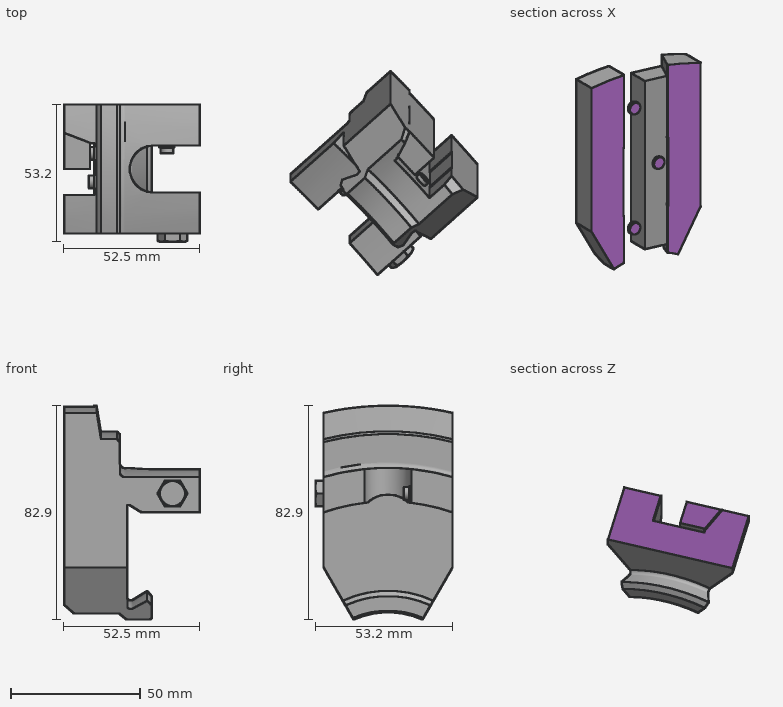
import cadquery as cq
import math

half_width = 25.0
corner_half_width = 13.3
taper_angle = 60
shoulder_z = (half_width - corner_half_width) * math.tan(math.radians(taper_angle))
top_z = 82.9

axis_z = -30.3
top_radius = top_z - axis_z

length = 52.5
rim_length = 12.6
shelf_start = 14.25
shelf_end = 21.55
back_wall = 24.5
hook_end = 34.0

shelf_radius = 103.25
arm_top_radius = 89.1
arm_bottom_radius = 76.1
arm_root_radius = 78.7
hook_tip_radius = 41.5
hook_end_radius = 39.4
groove_radius = 37.9
hook_bottom_radius = math.hypot(corner_half_width, axis_z)
body_bottom_radius = 35.8
front_bottom_radius = 39.7

shelf_chamfer = 1.1
arm_fillet = 2.0
arm_slope_start = 25.35
arm_slope_end = 29.8
groove_width = 2.2
groove_blend = 0.7
hook_tip_x = 32.15
hook_end_chamfer = 0.7
hook_step_start = 21.3
hook_step_end = 24.1
front_chamfer = 3.8

fork_radius = 9.0
fork_start = 25.4
fork_floor_z = 20.7

channel_depth = 11.6
channel_side_y = -10.0
slant_front_y = 14.0
slant_back_y = 9.95
slant_depth = 10.5
relief = 0.25
relief_bottom_z = 23.7
relief_top_z = 51.9
block_depth = 10.1
block_bottom_z = 7.3
block_top_z = 77.4

pin_diameter = 5.0
pin_chamfer = 0.25
channel_pin_y = -5.0
channel_pin_front = 9.45
channel_pin_heights = (17.2, 67.3)
block_pin_y = 6.05
block_pin_z = 42.3
bolt_x = 41.9
bolt_z = 48.8
bolt_across_flats = 10.0
bolt_head_height = 3.15
bolt_chamfer_diameter = 9.8
bolt_chamfer_height = 0.4
arm_pin_x = 39.8
arm_pin_length = 3.1
collar_diameter = 6.0
collar_thickness = 0.9
collar_chamfer = 0.4
embed = 0.8


def revolved_profile():
    """Clamp profile in the XZ plane, turned about the common axis."""

    def at(x, radius):
        return (x, axis_z + radius)

    fillet_mid = arm_fillet * (1 - math.sqrt(0.5))
    groove_end = back_wall + groove_width
    profile = (
        cq.Workplane("XZ")
        .moveTo(*at(0, front_bottom_radius))
        .lineTo(*at(0, top_radius))
        .lineTo(*at(rim_length, top_radius))
        .lineTo(*at(shelf_start, shelf_radius))
        .lineTo(*at(shelf_end - shelf_chamfer, shelf_radius))
        .lineTo(*at(shelf_end, shelf_radius - shelf_chamfer))
        .lineTo(*at(shelf_end, arm_top_radius + arm_fillet))
        .threePointArc(
            at(shelf_end + fillet_mid, arm_top_radius + fillet_mid),
            at(shelf_end + arm_fillet, arm_top_radius),
        )
        .lineTo(*at(length, arm_top_radius))
        .lineTo(*at(length, arm_bottom_radius))
        .lineTo(*at(arm_slope_end, arm_bottom_radius))
        .lineTo(*at(arm_slope_start, arm_root_radius))
        .lineTo(*at(back_wall, arm_root_radius))
        .lineTo(*at(back_wall, groove_radius + groove_blend))
        .threePointArc(
            at(back_wall + groove_width / 2, groove_radius),
            at(groove_end, groove_radius + groove_blend / 2),
        )
        .lineTo(*at(hook_tip_x, hook_tip_radius))
        .lineTo(*at(hook_end, hook_end_radius))
        .lineTo(*at(hook_end, hook_bottom_radius + hook_end_chamfer))
        .lineTo(*at(hook_end - hook_end_chamfer, hook_bottom_radius))
        .lineTo(*at(hook_step_end, hook_bottom_radius))
        .lineTo(*at(hook_step_start, body_bottom_radius))
        .lineTo(*at(front_chamfer, body_bottom_radius))
        .close()
    )
    return profile.revolve(360, (0, axis_z), (1, axis_z))


def side_outline():
    """Straight flanks and tapered lower corners, along the full length."""
    points = [
        (-corner_half_width, 0),
        (corner_half_width, 0),
        (half_width, shoulder_z),
        (half_width, top_z),
        (-half_width, top_z),
        (-half_width, shoulder_z),
    ]
    return cq.Workplane("YZ").polyline(points).close().extrude(length)


def fork_opening():
    """Round-ended opening that splits the arm in two."""
    center_x = fork_start + fork_radius
    height = top_z - fork_floor_z
    opening = cq.Workplane("XY", origin=(center_x, 0, fork_floor_z))
    straight = opening.rect(length - center_x, 2 * fork_radius, centered=(False, True)).extrude(height)
    return opening.circle(fork_radius).extrude(height).union(straight)


def slant_y(x):
    """Y of the slanted channel side, which runs straight back below slant_depth."""
    return slant_front_y + (slant_back_y - slant_front_y) * min(x / slant_depth, 1)


def channel_prism(low_y, depth, bottom_z, top_height, side_offset=0):
    """Upright prism from low_y to the slanted channel side."""
    points = [(0, low_y), (depth, low_y), (depth, slant_y(depth) + side_offset)]
    if depth > slant_depth:
        points.append((slant_depth, slant_back_y + side_offset))
    points.append((0, slant_front_y + side_offset))
    base = cq.Workplane("XY", origin=(0, 0, bottom_z))
    return base.polyline(points).close().extrude(top_height - bottom_z)


def channel():
    main = channel_prism(channel_side_y, channel_depth, 0, top_z)
    widened = channel_prism(
        channel_side_y - relief, channel_depth, relief_bottom_z, relief_top_z, relief
    )
    return main.union(widened)


def channel_pin(y, z, front_x):
    """Pin standing on the channel floor and pointing to -X."""
    pin = cq.Workplane("YZ", origin=(front_x, y, z)).circle(pin_diameter / 2)
    pin = pin.extrude(channel_depth + embed - front_x)
    return pin.faces("<X").chamfer(pin_chamfer)


def bolt_head():
    """Hexagon head on the -Y flank with chamfered corners."""
    corner_diameter = bolt_across_flats / math.cos(math.pi / 6)
    base = cq.Workplane("XZ", origin=(bolt_x, -half_width + embed, bolt_z))
    total = bolt_head_height + embed
    head = base.polygon(6, corner_diameter).extrude(total)
    envelope = base.circle(corner_diameter / 2).extrude(total)
    corner_inset = (corner_diameter - bolt_chamfer_diameter) / 2
    envelope = envelope.faces("<Y").chamfer(bolt_chamfer_height, corner_inset)
    return head.intersect(envelope)


def arm_pin():
    """Collared pin on the inner face of the +Y arm."""
    base = cq.Workplane("XZ", origin=(arm_pin_x, fork_radius + embed, bolt_z))
    pin = base.circle(pin_diameter / 2).extrude(arm_pin_length + embed)
    pin = pin.faces("<Y").chamfer(pin_chamfer)
    collar = base.circle(collar_diameter / 2).extrude(collar_thickness + embed)
    return pin.union(collar.faces("<Y").chamfer(collar_chamfer))


body = revolved_profile().intersect(side_outline())
body = body.cut(fork_opening()).cut(channel())
body = body.union(channel_prism(0, block_depth, block_bottom_z, block_top_z))
for pin_z in channel_pin_heights:
    body = body.union(channel_pin(channel_pin_y, pin_z, channel_pin_front))
body = body.union(channel_pin(block_pin_y, block_pin_z, block_depth - embed))
result = body.union(bolt_head()).union(arm_pin())